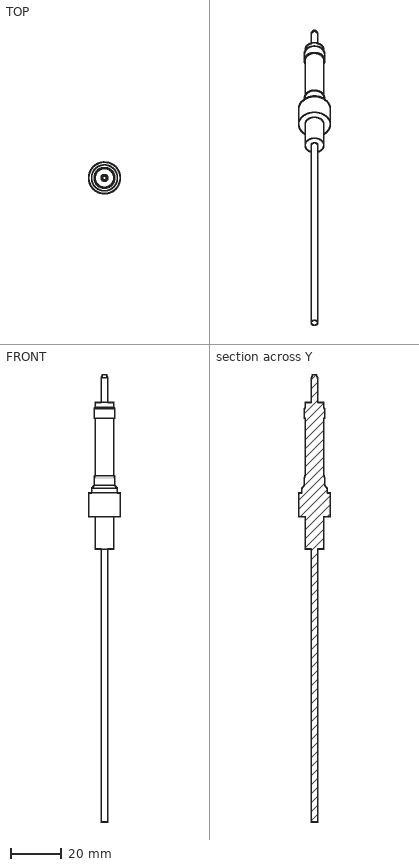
import cadquery as cq

total_length = 177.8
boss_bottom = 108.5
flange_bottom = 121.3
flange_top = 130.9
cone_bottom = 132.6
cone_top = 133.9
stop_ring_top = 137.6
collar_bottom = 160.4
collar_top = 164.8
sleeve_top = 166.8

rod_radius = 1.33
sleeve_radius = 3.7
ring_radius = 4.1
cone_radius = 5.2
flange_radius = 6.31

rod_tip_chamfer_height = 1.2
rod_tip_chamfer_width = 0.5
collar_chamfer_height = 0.5
collar_chamfer_width = 0.4
stop_ring_shoulder_radius = 4.0
stop_ring_chamfer_height = 0.7


def cylinder(radius, bottom, top):
    return cq.Workplane("XY").workplane(offset=bottom).circle(radius).extrude(top - bottom)


def rod():
    body = cylinder(rod_radius, 0, total_length)
    return body.faces(">Z").chamfer(rod_tip_chamfer_height, rod_tip_chamfer_width)


def collar():
    """Raised collar near the top of the sleeve, chamfered on its upper edge."""
    body = cylinder(ring_radius, collar_bottom, collar_top)
    return body.faces(">Z").chamfer(collar_chamfer_height, collar_chamfer_width)


def seat():
    """Turned profile above the flange: cylindrical land, cone and stop ring."""
    outline = [
        (0, flange_top),
        (cone_radius, flange_top),
        (cone_radius, cone_bottom),
        (ring_radius, cone_top),
        (ring_radius, stop_ring_top - stop_ring_chamfer_height),
        (stop_ring_shoulder_radius, stop_ring_top),
        (0, stop_ring_top),
    ]
    return cq.Workplane("XZ").polyline(outline).close().revolve(360, (0, 0), (0, 1))


result = (
    rod()
    .union(cylinder(sleeve_radius, boss_bottom, sleeve_top))
    .union(cylinder(flange_radius, flange_bottom, flange_top))
    .union(seat())
    .union(collar())
)